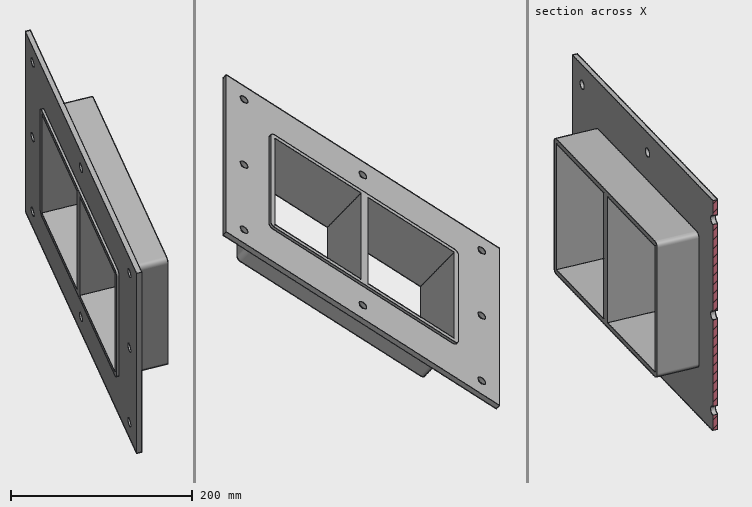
import cadquery as cq

plate_width = 383.0
plate_height = 291.5
plate_thickness = 6.0

hole_diameter = 10.5
hole_edge_distance = 25.0

plate_border = 60.0
frame_width = plate_width - 2 * plate_border
frame_height = plate_height - 2 * plate_border
frame_depth = 60.0
frame_wall = 6.0
frame_corner_radius = 6.0
frame_front_projection = 3.0

divider_thickness = 10.0
window_width = (frame_width - 2 * frame_wall - divider_thickness) / 2
window_height = frame_height - 2 * frame_wall
window_offset = (window_width + divider_thickness) / 2


def block(width, depth, height, front_y):
    """Box centred on X and Z that starts at front_y and extends toward +Y."""
    box = cq.Workplane("XY").box(width, depth, height, centered=(True, False, True))
    return box.translate((0, front_y, 0))


def make_plate():
    """Flat plate with a hole at each corner and at the middle of each side."""
    hole_x = plate_width / 2 - hole_edge_distance
    hole_z = plate_height / 2 - hole_edge_distance
    hole_centers = [
        (column * hole_x, row * hole_z)
        for column in (-1, 0, 1)
        for row in (-1, 0, 1)
        if (column, row) != (0, 0)
    ]
    plate = block(plate_width, plate_thickness, plate_height, 0)
    return plate.faces("<Y").workplane(origin=(0, 0, 0)).pushPoints(hole_centers).hole(hole_diameter)


def make_frame_body():
    """Solid frame envelope with rounded corners along Y."""
    body = block(frame_width, frame_depth, frame_height, -frame_front_projection)
    return body.edges("|Y").fillet(frame_corner_radius)


def cut_windows(body):
    """Cut the two sharp-cornered windows through the full frame depth."""
    window = block(window_width, frame_depth, window_height, -frame_front_projection)
    for side in (-1, 1):
        body = body.cut(window.translate((side * window_offset, 0, 0)))
    return body


result = cut_windows(make_plate().union(make_frame_body()))